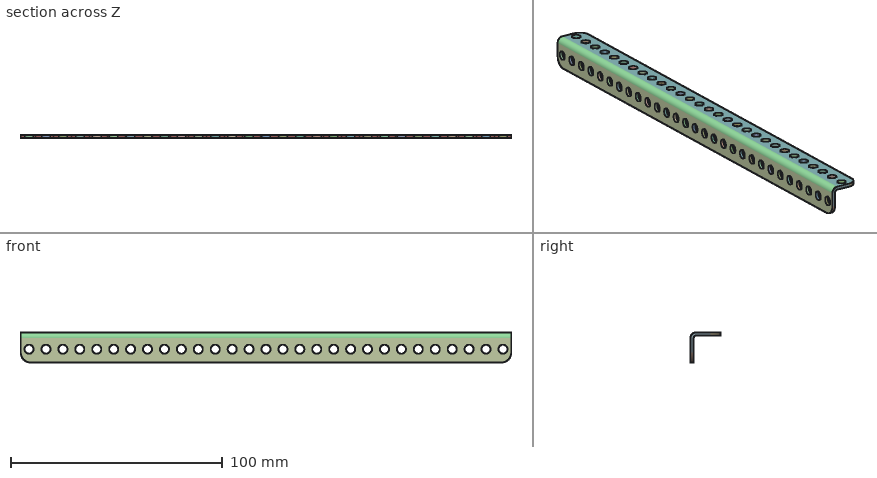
import cadquery as cq

length = 232.0
leg = 14.5
thickness = 1.6
bend_outer_radius = 2.8
bend_inner_radius = bend_outer_radius - thickness
corner_radius = 4.9

hole_count = 29
hole_pitch = length / hole_count
hole_diameter = 4.2
hole_offset = hole_pitch


def bent_strip():
    """Angle section: outer faces on Y = 0 and Z = 0, bend along X."""
    section = (
        cq.Workplane("YZ")
        .moveTo(0, 0)
        .lineTo(leg, 0)
        .lineTo(leg, -thickness)
        .lineTo(thickness, -thickness)
        .lineTo(thickness, -leg)
        .lineTo(0, -leg)
        .close()
        .extrude(length / 2, both=True)
    )
    rounded_outside = section.edges(
        cq.selectors.NearestToPointSelector((0, 0, 0))
    ).fillet(bend_outer_radius)
    return rounded_outside.edges(
        cq.selectors.NearestToPointSelector((0, thickness, -thickness))
    ).fillet(bend_inner_radius)


def round_free_corners(body):
    """Round both end corners on the free edge of each leg."""
    body = body.faces(">Y").edges("|Z").fillet(corner_radius)
    return body.faces("<Z").edges("|Y").fillet(corner_radius)


def hole_row(plane, offset):
    """Pins that cut a row of holes; offset is the row's place across the leg."""
    return (
        cq.Workplane(plane)
        .center(0, offset)
        .rarray(hole_pitch, 2.3, hole_count, 1)
        .circle(hole_diameter / 2)
        .extrude(thickness * 2, both=True)
    )


result = (
    round_free_corners(bent_strip())
    .cut(hole_row("XY", hole_offset))
    .cut(hole_row("XZ", -hole_offset))
)